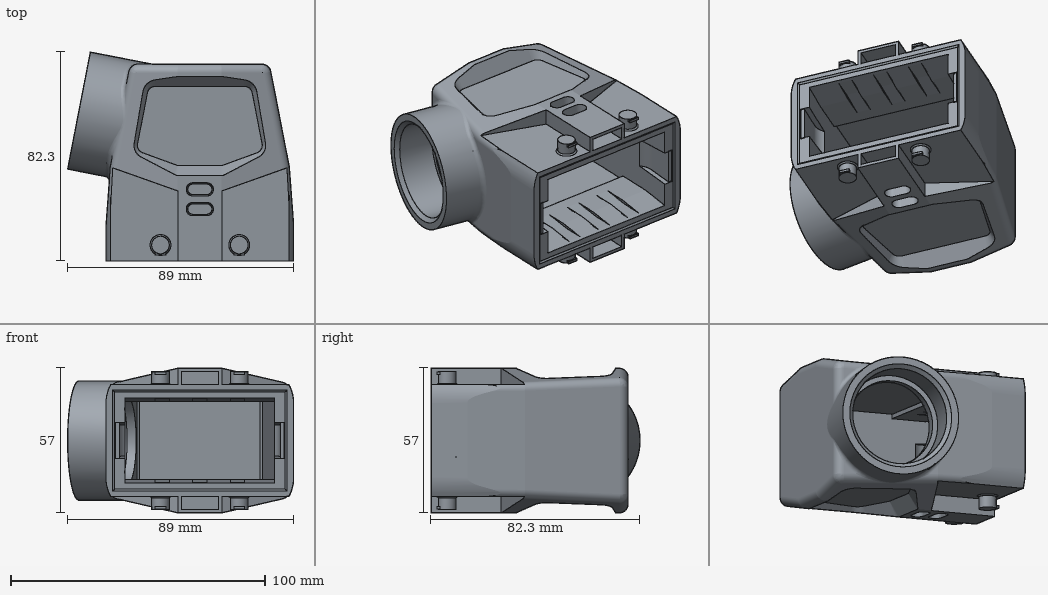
import cadquery as cq
import math


overall_width = 89.0
mouth_half_width = 36.95
foot_half_width = 38.0
bend_half_width = 35.3
bend_y = 37.0
hood_top = 77.55
lean_angle = math.radians(11.0)
lean = math.tan(lean_angle)
top_half_width = bend_half_width - (hood_top - bend_y) * lean
flat_half_height = 22.0
side_flat_half_height = 14.7
mouth_corner_half_width = 35.1
side_fillet = 3.0
roof_fillet = 3.6
top_corner_fillet = 3.7

rail_half_width = 8.6
rail_half_height = 28.5
roof_angle = 13.0
roof_slope = math.tan(math.radians(roof_angle))
rail_step_y = 27.6
step_slope = (bend_y - rail_step_y) / (bend_half_width - rail_half_width)
rail_pocket_half_width = 7.3
rail_pocket_height = 27.15
rail_pocket_depth = 13.35
slot_length = 10.7
slot_width = 5.25
slot_levels = (20.5, 28.2)
slot_draft = 5.0

recess_floor = 22.4
recess_top = 68.7
recess_corner_y = 43.5
recess_bottom = 37.6
recess_half_width = 25.0
recess_draft = 33.0
recess_fillet = 3.1

pin_offset = 15.5
pin_y = 6.3
pin_radius = 3.5
pin_top = 27.15
pin_foot_radius = 4.1
pin_foot_height = 0.5
tab_width = 4.2
tab_end_y = 2.3
tab_thickness = 1.0
tab_top = 27.0

ledge_half_width = 34.3
ledge_half_height = 19.85
ledge_depth = 0.5
ledge_draft = 55.0
cavity_half_width = 29.5
cavity_mouth_half_height = 16.8
cavity_half_height = 17.1
cavity_bend_y = 49.5
cavity_top = 74.8
cavity_chamfer = 0.9
ramp_half_height = 15.3
ramp_rise_y = 12.5
ramp_end_y = 26.7
groove_pitch = 14.8
groove_width = 5.6
groove_half_height = 16.6
groove_rise_y = 10.7
groove_end_y = 21.4
key_half_width = 33.1
key_half_height = 7.1
key_draft = 3.8
key_band_width = 97.9
key_step_half_width = 31.7
key_step_y = 0.9
key_straight_y = 11.6
key_end_y = 16.5

collar_radius = 23.5
collar_face_x = mouth_half_width - overall_width + collar_radius * math.sin(lean_angle)
collar_face_y = 59.2
collar_face = cq.Vector(collar_face_x, collar_face_y, 0)
collar_axis = cq.Vector(math.cos(lean_angle), -math.sin(lean_angle), 0)
collar_length = 26.7
collar_root_depth = 4.45
root_tolerance = 0.01
collar_bore_radius = 19.05
collar_bore_depth = 16.0
collar_mouth_radius = 20.65
collar_mouth_depth = 1.6
entry_radius = 17.0
entry_depth = 23.15
collar_blend = 1.8


def both_faces(solid):
    """A solid joined with its mirror image about Z = 0."""
    return solid.union(solid.mirror("XY"))


def box(half_width, y_start, y_end, z_start, z_end):
    """A box centred on X = 0."""
    size = (2 * half_width, y_end - y_start, z_end - z_start)
    return cq.Workplane("XY").box(*size, centered=(True, False, False)).translate((0, y_start, z_start))


def side_outline(half_height):
    """The tapering outline of the hood, as a slab centred on Z = 0."""
    right = [(foot_half_width, 0), (bend_half_width, bend_y), (top_half_width, hood_top)]
    left = [(-x, y) for x, y in reversed(right)]
    return cq.Workplane("XY").polyline(right + left).close().extrude(half_height, both=True)


def round_rim(solid, radius):
    """Round the edges where the side and top walls meet the two large faces."""
    margin = 0.9
    faces_only = cq.selectors.BoxSelector(
        (-rail_half_width - margin, 0, -rail_half_height - margin),
        (rail_half_width + margin, hood_top - margin, rail_half_height + margin),
    )
    walls = cq.selectors.StringSyntaxSelector("(not |Z) and (not <Y)")
    return solid.edges(walls - faces_only).fillet(radius)


def raised_hull():
    """The upper hood with its sloping roof and flat central rail."""
    eave = rail_half_height - (foot_half_width - rail_half_width) * roof_slope
    upper = [(foot_half_width, eave), (rail_half_width, rail_half_height)]
    upper += [(-x, z) for x, z in reversed(upper)]
    lower = [(x, -z) for x, z in reversed(upper)]
    roof = cq.Workplane("XZ").polyline(upper + lower).close().extrude(-hood_top)
    hull = side_outline(rail_half_height).intersect(roof)
    hull = hull.edges("|Z and >Y").fillet(top_corner_fillet)
    hull = round_rim(hull, roof_fillet)
    reach = foot_half_width
    reach_y = rail_step_y + (reach - rail_half_width) * step_slope
    step = (
        cq.Workplane("XY").workplane(offset=flat_half_height)
        .polyline([(rail_half_width, 0), (rail_half_width, rail_step_y), (reach, reach_y), (reach, 0)])
        .close().extrude(rail_half_height)
    )
    steps = step.union(step.mirror("YZ"))
    return hull.cut(both_faces(steps))


def lower_hull():
    """The flat-faced lower hood below the slanted steps."""
    slab = side_outline(flat_half_height).edges("|Z and >Y").fillet(top_corner_fillet)
    slab = round_rim(slab, side_fillet)
    return slab.intersect(box(foot_half_width, 0, bend_y, -flat_half_height, flat_half_height))


def mouth_envelope():
    """The section along Y that gives the mouth its bowed corners."""
    chord_z = flat_half_height - side_flat_half_height
    chord_x = mouth_half_width - mouth_corner_half_width
    radius = (chord_z ** 2 + chord_x ** 2) / (2 * chord_x)
    mid_angle = math.asin(chord_z / radius) / 2
    mid_x = mouth_half_width - radius * (1 - math.cos(mid_angle))
    mid_z = side_flat_half_height + radius * math.sin(mid_angle)
    quarter = (
        cq.Workplane("XZ")
        .lineTo(mouth_half_width, 0).lineTo(mouth_half_width, side_flat_half_height)
        .threePointArc((mid_x, mid_z), (mouth_corner_half_width, flat_half_height))
        .lineTo(mouth_corner_half_width, rail_half_height).lineTo(0, rail_half_height)
        .close().extrude(-hood_top)
    )
    right = both_faces(quarter)
    return right.union(right.mirror("YZ")).clean()


def label_recess():
    """Drafted recess in the roof, wider at the rim than at the floor."""
    recess_top_half_width = recess_half_width - (recess_top - recess_corner_y) * lean
    right = [
        (rail_half_width, recess_bottom),
        (recess_half_width, recess_corner_y),
        (recess_top_half_width, recess_top),
    ]
    left = [(-x, y) for x, y in reversed(right)]
    depth = rail_half_height - recess_floor
    plate = (
        cq.Workplane("XY").workplane(offset=recess_floor)
        .polyline(right + left).close().extrude(-depth)
        .edges("|Z and (not <Y)").fillet(recess_fillet)
    )
    return plate.faces(">Z").wires().toPending().extrude(depth, taper=-recess_draft, combine=False)


def rail_openings():
    """Hollow in the rail's mouth end and the two slots in its face."""
    cuts = box(rail_pocket_half_width, 0, rail_pocket_depth, flat_half_height, rail_pocket_height)
    for level in slot_levels:
        slot = (
            cq.Workplane("XY").workplane(offset=rail_half_height)
            .center(0, level).slot2D(slot_length, slot_width)
            .extrude(flat_half_height - rail_half_height, taper=slot_draft)
        )
        cuts = cuts.union(slot)
    return cuts


def locking_pins():
    """Two round pins with a small tab at the tip, pointing to the mouth."""
    base = cq.Workplane("XY").workplane(offset=flat_half_height)
    pin = base.center(0, pin_y).circle(pin_radius).extrude(pin_top - flat_half_height)
    foot_centre = cq.Vector(0, pin_y, flat_half_height)
    foot = cq.Solid.makeCone(pin_foot_radius, pin_radius, pin_foot_height, foot_centre)
    pin = pin.union(cq.Workplane(foot))
    pin = pin.union(box(tab_width / 2, tab_end_y, pin_y, tab_top - tab_thickness, tab_top))
    return pin.translate((pin_offset, 0, 0)).union(pin.translate((-pin_offset, 0, 0)))


def side_slab(profile, half_width):
    """A slab across X whose half height follows (y, z) points, alike above and below Z = 0."""
    mirrored = [(y, -z) for y, z in reversed(profile)]
    return cq.Workplane("YZ").polyline(profile + mirrored).close().extrude(half_width, both=True)


def cavity():
    """The hollow behind the mouth ledge, narrowing with the outer walls."""
    top_half = cavity_half_width - (cavity_top - cavity_bend_y) * lean
    right = [(cavity_half_width, 0), (cavity_half_width, cavity_bend_y), (top_half, cavity_top)]
    left = [(-x, y) for x, y in reversed(right)]
    outline = cq.Workplane("XY").polyline(right + left).close().extrude(cavity_half_height, both=True)
    outline = outline.edges("|Z and >Y").chamfer(cavity_chamfer)
    front = side_slab([(0, cavity_mouth_half_height), (ramp_rise_y, ramp_half_height),
                       (ramp_end_y, ramp_half_height)], cavity_half_width)
    back = side_slab([(ramp_end_y, cavity_half_height), (cavity_top, cavity_half_height)], cavity_half_width)
    hollow = outline.intersect(front.union(back))
    groove = side_slab([(0, groove_half_height), (groove_rise_y, groove_half_height),
                        (groove_end_y, ramp_half_height)], groove_width / 2)
    for column in (-1, 0, 1):
        hollow = hollow.union(groove.translate((column * groove_pitch, 0, 0)))
    return hollow


def mouth_openings():
    """Sloping-sided ledge around the mouth and the drafted keyways at both ends."""
    ledge = (
        cq.Workplane("XZ").rect(2 * ledge_half_width, 2 * ledge_half_height)
        .extrude(-ledge_depth, taper=ledge_draft)
    )
    key_band = (
        cq.Workplane("XZ").rect(key_band_width, 2 * key_half_height)
        .extrude(-key_end_y, taper=key_draft)
    )
    key = (
        cq.Workplane("XY").lineTo(key_half_width, 0)
        .lineTo(key_half_width, key_step_y).lineTo(key_step_half_width, key_step_y)
        .lineTo(key_step_half_width, key_straight_y)
        .tangentArcPoint((cavity_half_width, key_end_y), relative=False)
        .lineTo(0, key_end_y).close().extrude(key_half_height, both=True)
    )
    keyways = key.union(key.mirror("YZ")).intersect(key_band)
    return ledge.union(keyways)


def collar_rod(radius, length):
    """A cylinder on the collar axis, running inward from the collar's outer face."""
    return cq.Workplane(cq.Solid.makeCylinder(radius, length, collar_face, collar_axis))


def blend_collar(solid):
    """Fillet the root of the collar where it meets the hood walls."""
    root = []
    for edge in solid.edges("not %LINE").vals():
        middle = edge.positionAt(0.5) - collar_face
        beyond_face = middle.dot(collar_axis) > collar_root_depth
        on_collar = abs(middle.cross(collar_axis).Length - collar_radius) < root_tolerance
        if beyond_face and on_collar:
            root.append(edge)
    return solid.newObject(root).fillet(collar_blend)


def collar_bore():
    """Chamfered bore with a shoulder and a smaller entry into the cavity."""
    chamfer = cq.Solid.makeCone(
        collar_mouth_radius, collar_bore_radius, collar_mouth_depth, collar_face, collar_axis
    )
    bore = collar_rod(collar_bore_radius, collar_bore_depth).union(cq.Workplane(chamfer))
    return bore.union(collar_rod(entry_radius, entry_depth))


hood = raised_hull().union(lower_hull()).intersect(mouth_envelope())
hood = blend_collar(hood.union(collar_rod(collar_radius, collar_length)))
hood = hood.cut(both_faces(label_recess())).cut(both_faces(rail_openings()))
hood = hood.union(both_faces(locking_pins()))
result = hood.cut(cavity()).cut(mouth_openings()).cut(collar_bore())